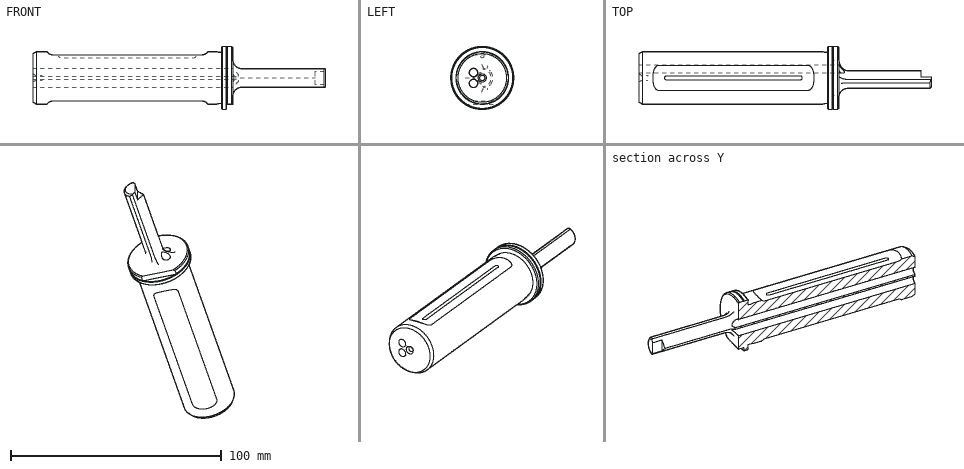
import cadquery as cq
import math

total_length = 139.0

body_radius = 12.5
nose_chamfer_length = 1.7
nose_chamfer_depth = 1.0

neck_start = 87.2
neck_taper_length = 1.3
neck_depth = 0.3

flange_start = 89.5
flange_end = 95.0
flange_radius = 15.0
flange_edge_chamfer = 0.5
flange_groove_x = 92.0
flange_groove_depth = 0.3
flange_flat_height = body_radius

flat_height = 11.0
flat_start = 9.7
flat_end = 80.0
flat_runout_radius = 3.9

slot_start = 12.2
slot_end = 77.5
slot_radius = 1.0
slot_depth = 1.4

stem_radius = 5.0
stem_half_height = 4.5
stem_shoulder_y = -0.7
stem_ridge_y = 3.5
stem_end_chamfer = 0.8
stem_root_fillet = 4.3
end_notch_length = 5.0
end_notch_y = 0.5

through_hole_diameter = 3.9
through_hole_y = 4.2
through_hole_pitch = 5.1
center_hole_diameter = 2.5
center_hole_depth = 4.2
center_sink_diameter = 3.9
center_sink_half_angle = 30.0
drill_tip_half_angle = 59.0

neck_radius = body_radius - neck_depth

x_axis_start = (0, 0, 0)
x_axis_end = (1, 0, 0)


def revolve_about_x(points):
    """Solid of revolution from (x, radius) points, closed along the X axis."""
    outline = cq.Workplane("XZ").polyline(points).close()
    return outline.revolve(360, x_axis_start, x_axis_end)


def body_with_flange():
    flange_face_radius = flange_radius - flange_edge_chamfer
    return revolve_about_x([
        (0, 0),
        (0, body_radius - nose_chamfer_depth),
        (nose_chamfer_length, body_radius),
        (neck_start, body_radius),
        (neck_start + neck_taper_length, neck_radius),
        (flange_start, neck_radius),
        (flange_start, flange_face_radius),
        (flange_start + flange_edge_chamfer, flange_radius),
        (flange_groove_x - flange_groove_depth, flange_radius),
        (flange_groove_x, flange_radius - flange_groove_depth),
        (flange_groove_x + flange_groove_depth, flange_radius),
        (flange_end - flange_edge_chamfer, flange_radius),
        (flange_end, flange_face_radius),
        (flange_end, 0),
    ])


def flange_flat_cut():
    """Removes the rear part of the flange below the body's lowest line."""
    return cq.Workplane("XY").box(
        flange_end - flange_groove_x,
        2 * flange_radius,
        flange_radius,
        centered=(False, True, False),
    ).translate((flange_groove_x, 0, -flange_flat_height - flange_radius))


def body_flat_cut():
    """Upper flat, running out at both ends in an arc tangent to the flat."""
    arc_center_z = flat_height + flat_runout_radius
    arc_offset = flat_runout_radius * math.sin(math.radians(45))
    return (
        cq.Workplane("XZ")
        .moveTo(flat_start, flat_height)
        .lineTo(flat_end, flat_height)
        .threePointArc(
            (flat_end + arc_offset, arc_center_z - arc_offset),
            (flat_end + flat_runout_radius, arc_center_z),
        )
        .lineTo(flat_start - flat_runout_radius, arc_center_z)
        .threePointArc(
            (flat_start - arc_offset, arc_center_z - arc_offset),
            (flat_start, flat_height),
        )
        .close()
        .extrude(body_radius, both=True)
    )


def slot_cut():
    """Ball-nosed slot centred on the upper flat, with straight walls above its round floor."""
    first_center = slot_start + slot_radius
    last_center = slot_end - slot_radius
    floor_center_z = flat_height - slot_depth + slot_radius
    cutter = (
        cq.Workplane("XY", origin=((slot_start + slot_end) / 2, 0, floor_center_z))
        .slot2D(slot_end - slot_start, 2 * slot_radius)
        .extrude(slot_depth)
    )
    floor = (
        cq.Workplane("YZ", origin=(first_center, 0, floor_center_z))
        .circle(slot_radius)
        .extrude(last_center - first_center)
    )
    cutter = cutter.union(floor)
    for center_x in (first_center, last_center):
        ball = cq.Workplane("XY").sphere(slot_radius)
        cutter = cutter.union(ball.translate((center_x, 0, floor_center_z)))
    return cutter


def stem():
    """Round stem with two narrow flats and a wedge towards +Y."""
    flat_edge_y = -math.sqrt(stem_radius**2 - stem_half_height**2)
    blank = (
        cq.Workplane("YZ", origin=(flange_end, 0, 0))
        .moveTo(flat_edge_y, stem_half_height)
        .threePointArc((-stem_radius, 0), (flat_edge_y, -stem_half_height))
        .lineTo(stem_shoulder_y, -stem_half_height)
        .lineTo(stem_ridge_y, 0)
        .lineTo(stem_shoulder_y, stem_half_height)
        .close()
        .extrude(total_length - flange_end)
    )
    chamfered_envelope = revolve_about_x([
        (flange_end, 0),
        (flange_end, stem_radius),
        (total_length - stem_end_chamfer, stem_radius),
        (total_length, stem_radius - stem_end_chamfer),
        (total_length, 0),
    ])
    notch = cq.Workplane("XY").box(
        end_notch_length,
        stem_radius,
        2 * stem_radius,
        centered=(False, False, True),
    ).translate((total_length - end_notch_length, end_notch_y, 0))
    return blank.intersect(chamfered_envelope).cut(notch)


def through_holes():
    centers = [(through_hole_y, side * through_hole_pitch / 2) for side in (-1, 1)]
    return (
        cq.Workplane("YZ")
        .pushPoints(centers)
        .circle(through_hole_diameter / 2)
        .extrude(total_length)
    )


def center_hole():
    """Countersunk blind hole with a drill-point bottom."""
    hole_radius = center_hole_diameter / 2
    sink_radius = center_sink_diameter / 2
    sink_depth = (sink_radius - hole_radius) / math.tan(math.radians(center_sink_half_angle))
    tip_length = hole_radius / math.tan(math.radians(drill_tip_half_angle))
    return revolve_about_x([
        (0, 0),
        (0, sink_radius),
        (sink_depth, hole_radius),
        (center_hole_depth, hole_radius),
        (center_hole_depth + tip_length, 0),
    ])


def fillet_stem_root(part):
    """Rounds every edge where the stem meets the rear face of the flange."""
    margin = 0.1
    reach = stem_radius + margin
    root_edges = cq.selectors.BoxSelector(
        (flange_end - margin, -reach, -reach),
        (flange_end + margin, reach, reach),
        boundingbox=True,
    )
    return part.edges(root_edges).fillet(stem_root_fillet)


upper_flat = body_flat_cut()
result = fillet_stem_root(body_with_flange().union(stem()))
result = (
    result
    .cut(flange_flat_cut())
    .cut(upper_flat)
    .cut(upper_flat.mirror("XY"))
    .cut(slot_cut())
    .cut(through_holes())
    .cut(center_hole())
)